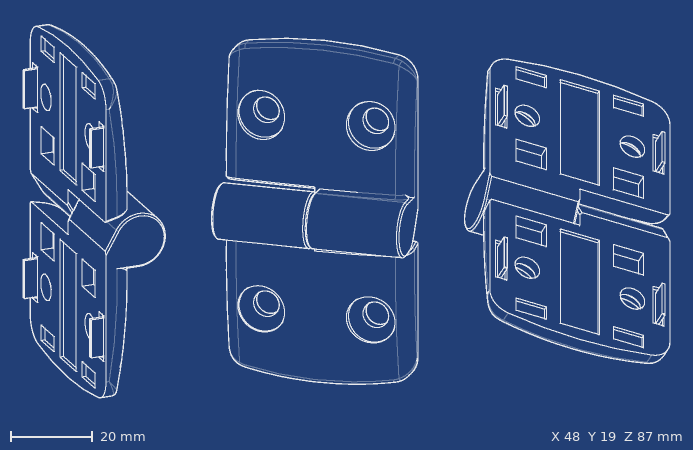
import cadquery as cq
import math

width = 48.0
height = 87.0
half_width = width / 2
half_height = height / 2

knuckle_radius = 7.0
knuckle_axis_y = 9.0
tangent_slope = 60.0
edge_chamfer = 0.5

end_arc_radius = 102.7
corner_radius = 6.0
crown_height = 7.9
crown_z = 11.3
long_radius = 148.8
cross_radius = 208.8
dome_sweep = 50.0
side_round = 4.0
end_round = 1.2
knuckle_blend = 0.9

clearance_z = 5.9
clearance_slope = 13.4

hole_x = 14.0
hole_z = 25.0
hole_diameter = 6.5
head_diameter = 12.2
sink_angle = 90.0
sink_start = 2.6

recess_top = 40.0
recess_bottom = 9.05
middle_recess_width = 10.35
shallow_depth = 1.0
side_recess_x = 13.0
side_recess_width = 8.0
upper_recess_height = 4.0
lower_recess_height = 7.1
lower_recess_depth = 3.05

tab_slot_x = 21.0
tab_slot_width = 3.0
tab_slot_height = 12.0
tab_x = 21.05
tab_thickness = 0.9
tab_height = 10.0
tab_projection = 3.0
tab_chamfer = 0.13


def block(x, z, size_x, size_z, y_from, y_to):
    """A box centred on (x, z) that runs from y_from to y_to."""
    return cq.Workplane("XY").box(size_x, y_to - y_from, size_z).translate((x, (y_from + y_to) / 2, z))


def leaf_outline():
    """Flat plate with a bowed end and round corners, thick enough to hold the dome."""
    end_sagitta = end_arc_radius - math.sqrt(end_arc_radius**2 - half_width**2)
    return (
        cq.Workplane("XZ")
        .moveTo(-half_width, clearance_z)
        .lineTo(-half_width, half_height - end_sagitta)
        .threePointArc((0, half_height), (half_width, half_height - end_sagitta))
        .lineTo(half_width, clearance_z)
        .close()
        .extrude(-2 * crown_height)
        .edges("|Y")
        .edges(">Z")
        .fillet(corner_radius)
    )


def dome():
    """Body curved along X and Z, level at crown_z, with rounded sides."""
    axis_y = crown_height - long_radius
    side_y = crown_height - (cross_radius - math.sqrt(cross_radius**2 - half_width**2))
    body = (
        cq.Workplane("XY", origin=(0, 0, crown_z))
        .moveTo(-half_width, -half_width)
        .lineTo(-half_width, side_y)
        .threePointArc((0, crown_height), (half_width, side_y))
        .lineTo(half_width, -half_width)
        .close()
        .revolve(dome_sweep, (0, axis_y, 0), (1, axis_y, 0))
        .rotate((0, axis_y, crown_z), (1, axis_y, crown_z), -dome_sweep / 2)
    )
    return body.edges("<X or >X").edges("%CIRCLE").edges(">Y").fillet(side_round)


def end_face_cutter():
    """Wedge and step below the sloped end face on the +X half."""
    reach = 2 * crown_height
    far_z = clearance_z + reach * math.tan(math.radians(clearance_slope))
    return (
        cq.Workplane("YZ")
        .polyline([(0, clearance_z), (reach, far_z), (reach, clearance_z)])
        .close()
        .extrude(half_width)
    )


def plate():
    """Domed plate with a rounded outer end; the +X half ends in the sloped clearance face."""
    body = leaf_outline().intersect(dome())
    outer_end = cq.selectors.BoxSelector(
        (-half_width, 0.1, half_height - corner_radius),
        (half_width, crown_height, half_height),
    )
    body = body.edges(outer_end).edges("not |Y").fillet(end_round)
    body = body.cut(end_face_cutter())
    end_face_side = cq.selectors.BoxSelector(
        (half_width - side_round, 0.1, clearance_z),
        (half_width + 0.1, crown_height, clearance_z + 1.7),
    )
    return body.edges(end_face_side).chamfer(edge_chamfer)


def knuckle():
    """Barrel over the -X half with a flat top and a flank sloping to the mounting face."""
    flank = math.radians(tangent_slope)
    tangent_y = knuckle_axis_y - knuckle_radius * math.sin(flank)
    tangent_z = -knuckle_radius * math.cos(flank)
    foot_z = tangent_z + tangent_y * math.tan(flank)
    return (
        cq.Workplane("YZ")
        .moveTo(0, foot_z)
        .lineTo(tangent_y, tangent_z)
        .threePointArc((knuckle_axis_y + knuckle_radius, 0), (knuckle_axis_y, knuckle_radius))
        .lineTo(0, knuckle_radius)
        .close()
        .extrude(-half_width)
        .faces("<X or >X")
        .edges("not(<Y)")
        .chamfer(edge_chamfer)
    )


def blended_body():
    """Plate joined to its knuckle, with a concave fillet where the dome meets the flat top."""
    body = plate().union(knuckle())
    seam = cq.selectors.BoxSelector(
        (edge_chamfer - half_width + 0.1, crown_height / 2, knuckle_radius - 0.1),
        (-2 * edge_chamfer, crown_height + 0.1, knuckle_radius + 0.1),
    )
    return body.edges(seam).fillet(knuckle_blend)


def screw_hole(x):
    """Through hole with a conical sink that opens into a head clearance."""
    hole_radius = hole_diameter / 2
    head_radius = head_diameter / 2
    sink_end = sink_start + (head_radius - hole_radius) / math.tan(math.radians(sink_angle / 2))
    return (
        cq.Workplane("XY")
        .polyline(
            [
                (0, 0),
                (hole_radius, 0),
                (hole_radius, sink_start),
                (head_radius, sink_end),
                (head_radius, crown_height),
                (0, crown_height),
            ]
        )
        .close()
        .revolve(360, (0, 0, 0), (0, 1, 0))
        .translate((x, 0, hole_z))
    )


def recesses():
    """Tall middle pocket and a column of two pockets on each side of it."""
    middle_height = recess_top - recess_bottom
    middle_z = (recess_top + recess_bottom) / 2
    upper_z = recess_top - upper_recess_height / 2
    lower_z = recess_bottom + lower_recess_height / 2
    pockets = block(0, middle_z, middle_recess_width, middle_height, 0, shallow_depth)
    for side in (-1, 1):
        x = side * side_recess_x
        pockets = pockets.add(block(x, upper_z, side_recess_width, upper_recess_height, 0, shallow_depth))
        pockets = pockets.add(block(x, lower_z, side_recess_width, lower_recess_height, 0, lower_recess_depth))
    return pockets.combine()


def tab(side):
    """Thin locating tab with its tip bevelled along the outer and upper edges."""
    outer = ">X" if side > 0 else "<X"
    return (
        block(side * tab_x, hole_z, tab_thickness, tab_height, -tab_projection, shallow_depth)
        .faces("<Y")
        .edges(f"{outer} or >Z")
        .chamfer(tab_chamfer)
    )


def leaf():
    """Complete leaf lying above the hinge axis, its knuckle at -X."""
    body = blended_body().cut(recesses())
    for side in (-1, 1):
        body = body.cut(screw_hole(side * hole_x))
        body = body.cut(block(side * tab_slot_x, hole_z, tab_slot_width, tab_slot_height, 0, shallow_depth))
        body = body.union(tab(side))
    return body


leaves = [leaf().rotate((0, 0, 0), (0, 1, 0), turn) for turn in (0, 180)]

result = cq.Compound.makeCompound([each_leaf.val() for each_leaf in leaves])